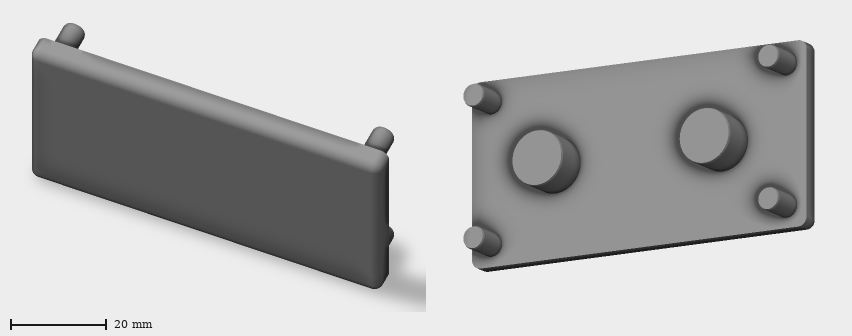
import cadquery as cq

plate_length = 80.0
plate_height = 40.0
plate_thickness = 5.0
edge_radius = 2.0

post_length = 8.0
pin_diameter = 5.0
pin_edge_distance = 4.7
boss_diameter = 12.0

bevel_length = 0.5
bevel_depth = 0.2

overall_depth = plate_thickness + post_length
back_face_y = overall_depth / 2 - post_length
pin_x = plate_length / 2 - pin_edge_distance
pin_z = plate_height / 2 - pin_edge_distance
boss_x = plate_length / 4


def back_face():
    """Workplane on the back face of the plate, with its normal toward -Y."""
    return cq.Workplane("XZ", origin=(0, back_face_y, 0))


def make_plate():
    """Plate with rounded corners and a rounded rim around the outer face."""
    return (
        back_face()
        .rect(plate_length, plate_height)
        .extrude(plate_thickness)
        .edges("|Y")
        .fillet(edge_radius)
        .faces("<Y")
        .edges()
        .fillet(edge_radius)
    )


def make_posts(diameter, centres):
    """Round posts at the given (x, z) centres, with bevelled free ends."""
    return (
        back_face()
        .pushPoints(centres)
        .circle(diameter / 2)
        .extrude(-post_length)
        .faces(">Y")
        .chamfer(bevel_length, bevel_depth)
    )


pin_centres = [(x, z) for x in (-pin_x, pin_x) for z in (-pin_z, pin_z)]
boss_centres = [(-boss_x, 0), (boss_x, 0)]

corner_pins = make_posts(pin_diameter, pin_centres)
middle_bosses = make_posts(boss_diameter, boss_centres)

result = make_plate().union(corner_pins).union(middle_bosses)